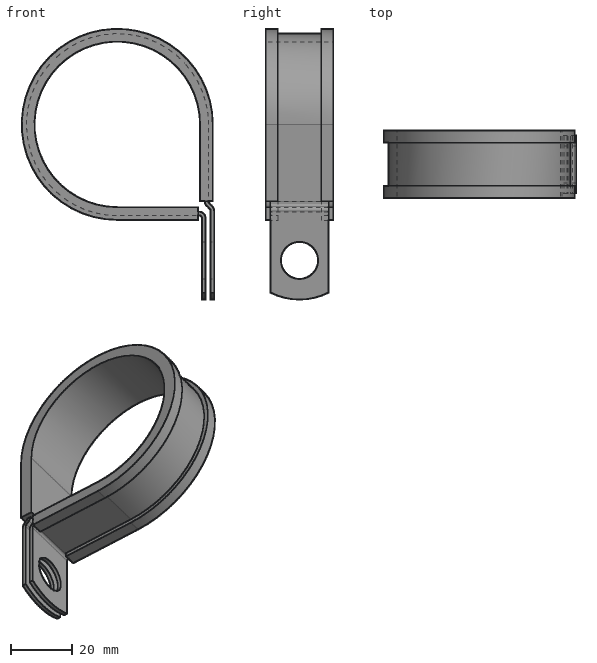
import cadquery as cq
import math

outer_radius = 31.2
wall = 4.2
strap_width = 22.1
upright_end_z = -25.0
level_end_x = 26.3

groove_width = 14.1
groove_depth = 1.5

band_thickness = 1.2
band_width = 19.0
bend_inner_radius = 0.9
jog_angle = math.radians(45)
overall_height = 88.4
overall_length = 62.85
tab_gap = 1.6
tab_end_rise = 2.3
hole_diameter = 12.0
hole_above_tip = 12.8

band_outer = outer_radius - groove_depth
band_inner = band_outer - band_thickness
bend_outer_radius = bend_inner_radius + band_thickness
tip_z = outer_radius - overall_height
right_tab_outer = overall_length - outer_radius
right_tab_inner = right_tab_outer - band_thickness
left_tab_outer = right_tab_inner - tab_gap
left_tab_inner = left_tab_outer - band_thickness


def extrude_centred(profile, width):
    """Extrude an XZ profile symmetrically about Y = 0."""
    return profile.extrude(width / 2, both=True)


def loop_band(outside, inside, width):
    """Three-quarter loop with straight tangent legs, between two radii."""
    diagonal = math.sqrt(0.5)
    profile = (
        cq.Workplane("XZ")
        .moveTo(outside, upright_end_z)
        .lineTo(outside, 0)
        .threePointArc((-outside * diagonal, outside * diagonal), (0, -outside))
        .lineTo(level_end_x, -outside)
        .lineTo(level_end_x, -inside)
        .lineTo(0, -inside)
        .threePointArc((-inside * diagonal, inside * diagonal), (inside, 0))
        .lineTo(inside, upright_end_z)
        .close()
    )
    return extrude_centred(profile, width)


def left_tab():
    """Tab turning down from the end of the level leg."""
    bend_x = left_tab_inner - bend_inner_radius
    bend_z = -band_outer - bend_inner_radius
    profile = (
        cq.Workplane("XZ")
        .moveTo(level_end_x, -band_inner)
        .lineTo(bend_x, -band_inner)
        .radiusArc((left_tab_outer, bend_z), bend_outer_radius)
        .lineTo(left_tab_outer, tip_z)
        .lineTo(left_tab_inner, tip_z)
        .lineTo(left_tab_inner, bend_z)
        .radiusArc((bend_x, -band_outer), -bend_inner_radius)
        .lineTo(level_end_x, -band_outer)
        .close()
    )
    return extrude_centred(profile, band_width)


def right_tab():
    """Tab stepping outward below the upright leg, through two opposite bends."""
    sine = math.sin(jog_angle)
    cosine = math.cos(jog_angle)
    upper_x = band_outer + bend_inner_radius
    lower_x = right_tab_inner - bend_inner_radius
    radius_sum = bend_inner_radius + bend_outer_radius
    straight_x = right_tab_outer - band_outer - radius_sum * (1 - cosine)
    lower_z = upright_end_z - radius_sum * sine - straight_x / math.tan(jog_angle)

    def upper_bend_end(radius):
        return (upper_x - radius * cosine, upright_end_z - radius * sine)

    def lower_bend_start(radius):
        return (lower_x + radius * cosine, lower_z + radius * sine)

    profile = (
        cq.Workplane("XZ")
        .moveTo(band_outer, upright_end_z)
        .radiusArc(upper_bend_end(bend_inner_radius), -bend_inner_radius)
        .lineTo(*lower_bend_start(bend_outer_radius))
        .radiusArc((right_tab_outer, lower_z), bend_outer_radius)
        .lineTo(right_tab_outer, tip_z)
        .lineTo(right_tab_inner, tip_z)
        .lineTo(right_tab_inner, lower_z)
        .radiusArc(lower_bend_start(bend_inner_radius), -bend_inner_radius)
        .lineTo(*upper_bend_end(bend_outer_radius))
        .radiusArc((band_inner, upright_end_z), bend_outer_radius)
        .close()
    )
    return extrude_centred(profile, band_width)


def tab_end_shape():
    """Envelope that rounds the lower ends of both tabs."""
    half_width = band_width / 2
    return (
        cq.Workplane("YZ")
        .moveTo(-half_width, 0)
        .lineTo(-half_width, tip_z + tab_end_rise)
        .threePointArc((0, tip_z), (half_width, tip_z + tab_end_rise))
        .lineTo(half_width, 0)
        .close()
        .extrude(overall_length)
    )


rim_strap = loop_band(outer_radius, outer_radius - wall, strap_width)
groove = loop_band(outer_radius, band_outer, groove_width)
strap = rim_strap.cut(groove)

bolt_hole = (
    cq.Workplane("YZ")
    .center(0, tip_z + hole_above_tip)
    .circle(hole_diameter / 2)
    .extrude(overall_length)
)
tabs = left_tab().union(right_tab()).intersect(tab_end_shape()).cut(bolt_hole)

result = cq.Workplane(strap.union(tabs).solids().val())